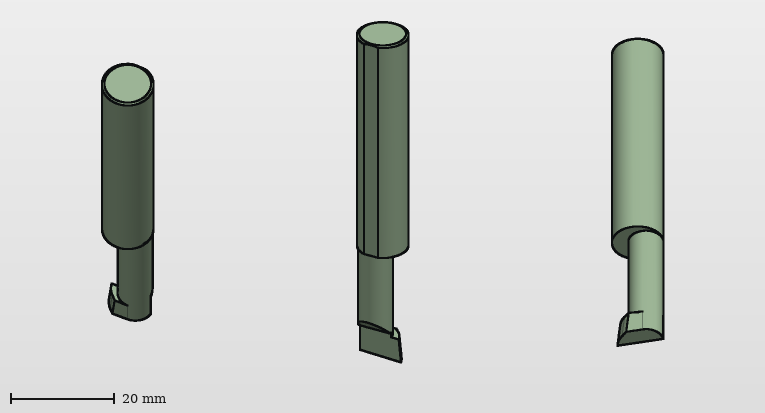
import cadquery as cq
import math

overall_length = 72.0

shank_diameter = 10.0
shank_length = 47.0
shank_radius = shank_diameter / 2
shank_bottom = overall_length - shank_length
flat_offset = 4.75
chamfer_width = 0.5
chamfer_height = 0.3

neck_diameter = 6.8
neck_radius = neck_diameter / 2
neck_x = shank_radius - neck_radius

rake_height = 6.0
rake_ledge = 0.35
rake_runout_angle = 45.0

head_height = 5.0
head_overhang = 4.0
side_clearance_angle = 6.0
relief_radius = 5.2
relief_end_depth = 2.4
relief_end_inset = 1.35
bevel_inset = 1.0

end_rise_angle_x = 2.0
end_rise_angle_y = 5.0

cut_margin = 1.0


def make_shank():
    """Round shank with a chamfered top end and a flat facing +Y."""
    bar = cq.Workplane("XY").workplane(offset=shank_bottom).circle(shank_radius).extrude(shank_length)
    bar = bar.faces(">Z").chamfer(chamfer_height, chamfer_width)
    keep_depth = flat_offset + shank_radius
    keep_box = cq.Workplane("XY").box(
        shank_diameter, keep_depth, overall_length, centered=(True, False, False)
    )
    return bar.intersect(keep_box.translate((0, -shank_radius, 0)))


def make_neck():
    """Cylindrical neck from the tip up to the shank."""
    return cq.Workplane("XY").center(neck_x, 0).circle(neck_radius).extrude(shank_bottom)


def cut_rake(body):
    """Remove the +Y half above the tip, running out along a slope."""
    depth = neck_radius + cut_margin
    runout_rise = (depth - rake_ledge) * math.tan(math.radians(rake_runout_angle))
    outline = [
        (0, -cut_margin),
        (depth, -cut_margin),
        (depth, rake_height + runout_rise),
        (rake_ledge, rake_height),
        (0, rake_height),
    ]
    cutter = cq.Workplane("YZ").polyline(outline).close().extrude(shank_diameter, both=True)
    return body.cut(cutter)


def head_section(height):
    """Closed head outline at the given height above the tip."""
    edge_x = -head_overhang + height * math.tan(math.radians(side_clearance_angle))
    relief_end = cq.Vector(edge_x + relief_end_inset, -relief_end_depth, height)
    edge = cq.Vector(edge_x, 0, height)
    chord = relief_end - edge
    sagitta = relief_radius - math.sqrt(relief_radius**2 - (chord.Length / 2) ** 2)
    outward = cq.Vector(chord.y, -chord.x, 0).normalized()
    relief_middle = edge + chord * 0.5 + outward * sagitta
    bevel_end = cq.Vector(relief_end.x + bevel_inset, -neck_radius, height)
    tangent_point = cq.Vector(neck_x, -neck_radius, height)
    inner_corner = cq.Vector(neck_x, 0, height)
    return cq.Wire.assembleEdges([
        cq.Edge.makeThreePointArc(edge, relief_middle, relief_end),
        cq.Edge.makeLine(relief_end, bevel_end),
        cq.Edge.makeLine(bevel_end, tangent_point),
        cq.Edge.makeLine(tangent_point, inner_corner),
        cq.Edge.makeLine(inner_corner, edge),
    ])


def make_head():
    """Cutting head blended straight from its tip outline to its top outline."""
    solid = cq.Solid.makeLoft([head_section(0), head_section(head_height)], True)
    return cq.Workplane(obj=solid)


def cut_end_face(body):
    """Trim the lower end to a plane that rises away from the cutting corner."""
    rise_x = math.tan(math.radians(end_rise_angle_x))
    rise_y = math.tan(math.radians(end_rise_angle_y))
    end_plane = cq.Plane(
        origin=(-head_overhang, 0, 0), xDir=(1, 0, rise_x), normal=(-rise_x, rise_y, 1)
    )
    cutter_side = 4 * shank_diameter
    cutter = cq.Workplane(end_plane).rect(cutter_side, cutter_side).extrude(-head_height)
    return body.cut(cutter)


tip = cut_rake(make_neck()).union(make_head())
result = make_shank().union(cut_end_face(tip))